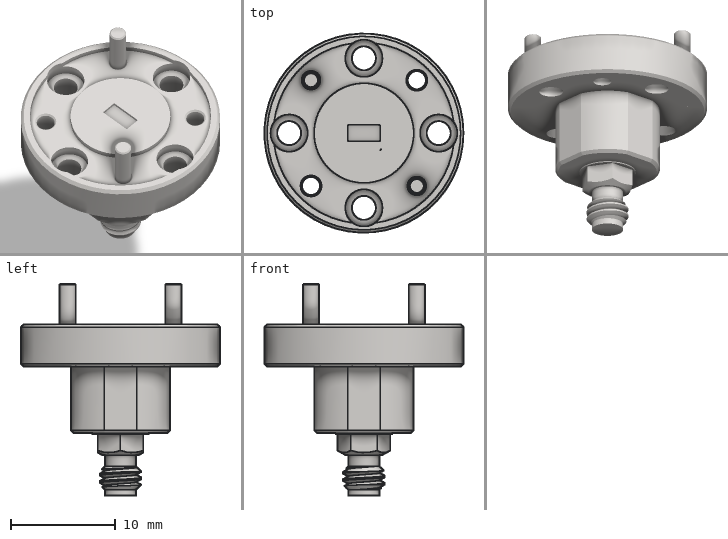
import cadquery as cq
import math


flange_diameter = 19.05
flange_thickness = 4.06
flange_chamfer = 0.28
recess_diameter = 17.3
recess_depth = 0.52
boss_diameter = flange_diameter / 2

window_length = 3.10
window_width = 1.55
window_corner_radius = 0.1
window_depth = 0.25

bolt_circle_radius = 14.29 / 2
screw_hole_diameter = 2.27
counterbore_diameter = 3.56
counterbore_depth = 1.03
dowel_hole_diameter = 1.72
dowel_hole_mouth = 2.02
pin_hole_mouth = 1.8
lead_in_angle = 45

screw_hole_count = 4
dowel_hole_angle = 45
pin_angle = 135

pin_diameter = 1.57
pin_projection = 3.88
pin_chamfer = 0.13

barrel_diameter = 10.0
barrel_across_flats = 9.5
barrel_length = 6.35
barrel_chamfer = 0.28

collar_diameter = 5.4
collar_thickness = 0.1
hex_across_flats = 4.38
hex_height = 2.0
hex_cone_height = 0.44
hex_cone_angle = 30
neck_diameter = 3.0
neck_length = 1.07
tip_length = 0.56

thread_diameter = 4.0
thread_pitch = 0.7
thread_length = 2.24
thread_angle = 60
thread_root_radius = 1.52
groove_overshoot = 0.05
groove_phase = 0.48
groove_turns = 4.8

recess_floor = -recess_depth
flange_bottom = -flange_thickness
barrel_bottom = flange_bottom - barrel_length
collar_bottom = barrel_bottom - collar_thickness
hex_bottom = collar_bottom - hex_height
thread_top = hex_bottom - neck_length
thread_bottom = thread_top - thread_length
connector_bottom = thread_bottom - tip_length


def cylinder(diameter, bottom, top):
    return cq.Workplane("XY").workplane(offset=bottom).circle(diameter / 2).extrude(top - bottom)


def bolt_circle_cutters(start_angle, count, diameter, top, depth, taper=0):
    """Round cutters evenly spaced on the bolt circle, reaching down from the top level."""
    return (
        cq.Workplane("XY")
        .workplane(offset=top)
        .polarArray(bolt_circle_radius, start_angle, 360, count)
        .circle(diameter / 2)
        .extrude(-depth, taper=taper)
    )


def opposite_holes(start_angle, diameter, mouth_diameter):
    """Two opposite through holes with a conical lead-in at the recess floor."""
    lead_in_depth = (mouth_diameter - diameter) / 2 / math.tan(math.radians(lead_in_angle))
    holes = bolt_circle_cutters(start_angle, 2, diameter, recess_floor, recess_floor - flange_bottom)
    mouths = bolt_circle_cutters(start_angle, 2, mouth_diameter, recess_floor, lead_in_depth, lead_in_angle)
    return holes.union(mouths)


def make_flange():
    flange = cylinder(flange_diameter, flange_bottom, 0).edges().chamfer(flange_chamfer)
    recess = cylinder(recess_diameter, recess_floor, 0).cut(cylinder(boss_diameter, recess_floor, 0))
    window = (
        cq.Workplane("XY")
        .rect(window_length, window_width)
        .extrude(-window_depth)
        .edges("|Z")
        .fillet(window_corner_radius)
    )
    counterbore_reach = recess_depth + counterbore_depth
    screw_holes = bolt_circle_cutters(0, screw_hole_count, screw_hole_diameter, 0, flange_thickness)
    counterbores = bolt_circle_cutters(0, screw_hole_count, counterbore_diameter, 0, counterbore_reach)
    dowel_holes = opposite_holes(dowel_hole_angle, dowel_hole_diameter, dowel_hole_mouth)
    pin_holes = opposite_holes(pin_angle, pin_diameter, pin_hole_mouth)
    for cutter in (recess, window, screw_holes, counterbores, dowel_holes, pin_holes):
        flange = flange.cut(cutter)
    return flange


def make_barrel():
    flats = (
        cq.Workplane("XY")
        .workplane(offset=barrel_bottom)
        .rect(barrel_across_flats, barrel_across_flats)
        .extrude(barrel_length)
        .faces("<Z")
        .chamfer(barrel_chamfer)
    )
    round_bar = cylinder(barrel_diameter, barrel_bottom, flange_bottom).faces("<Z").chamfer(barrel_chamfer)
    return round_bar.intersect(flats)


def make_hex():
    """Hexagon with corners on the X axis and its lower corners turned to a cone."""
    across_corners = hex_across_flats / math.cos(math.pi / 6)
    corner_radius = across_corners / 2
    cone_bottom_radius = corner_radius - hex_cone_height / math.tan(math.radians(hex_cone_angle))
    hexagon = (
        cq.Workplane("XY")
        .workplane(offset=hex_bottom)
        .polygon(6, across_corners)
        .extrude(hex_height)
    )
    turned_envelope = (
        cq.Workplane("XZ")
        .moveTo(0, hex_bottom)
        .lineTo(cone_bottom_radius, hex_bottom)
        .lineTo(corner_radius, hex_bottom + hex_cone_height)
        .lineTo(corner_radius, collar_bottom)
        .lineTo(0, collar_bottom)
        .close()
        .revolve(360, (0, 0, 0), (0, 1, 0))
    )
    return hexagon.intersect(turned_envelope)


def make_thread():
    """Right-hand thread: a chamfered cylinder with a helical V groove cut into it."""
    end_chamfer = (thread_diameter - neck_diameter) / 2
    blank = cylinder(thread_diameter, thread_bottom, thread_top).edges().chamfer(end_chamfer)
    groove_start = thread_bottom - groove_phase
    mouth_radius = thread_diameter / 2 + groove_overshoot
    half_mouth = (mouth_radius - thread_root_radius) * math.tan(math.radians(thread_angle / 2))
    helix = cq.Wire.makeHelix(
        thread_pitch, groove_turns * thread_pitch, thread_root_radius, cq.Vector(0, 0, groove_start)
    )
    groove = (
        cq.Workplane("XZ")
        .moveTo(thread_root_radius, groove_start)
        .lineTo(mouth_radius, groove_start + half_mouth)
        .lineTo(mouth_radius, groove_start - half_mouth)
        .close()
        .sweep(cq.Workplane(helix), isFrenet=True)
    )
    return blank.cut(groove)


def make_housing():
    collar = cylinder(collar_diameter, collar_bottom, barrel_bottom)
    core = cylinder(neck_diameter, connector_bottom, hex_bottom)
    housing = make_flange()
    for section in (make_barrel(), collar, make_hex(), core, make_thread()):
        housing = housing.union(section)
    return housing


def make_pin(angle):
    x = bolt_circle_radius * math.cos(math.radians(angle))
    y = bolt_circle_radius * math.sin(math.radians(angle))
    pin = cylinder(pin_diameter, flange_bottom, pin_projection).faces(">Z").chamfer(pin_chamfer)
    return pin.translate((x, y, 0))


housing = make_housing()
pins = [make_pin(angle) for angle in (pin_angle, pin_angle + 180)]
result = cq.Compound.makeCompound([housing.val(), *[pin.val() for pin in pins]])